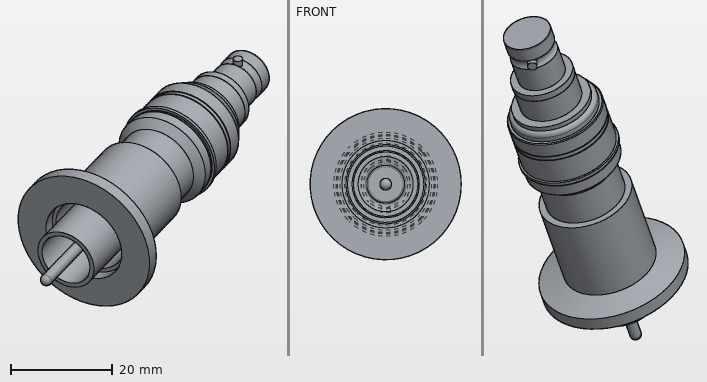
import cadquery as cq


flange_radius = 14.985
flange_rim = 2.75
flange_taper = 1.45
neck_radius = 9.55
neck_end = 22.25

sleeve_radius = 8.13
sleeve_end = 29.65

body_radius = 9.85
body_end = 44.95
body_edge = 0.2
nose_chamfer = body_radius - sleeve_radius
ring_radius = 10.3
ring_start = 34.25
ring_end = 34.95
undercut_radius = 9.75
undercut_width = 0.5
band_radius = 9.7
band_start = 40.55
band_end = 41.55
shoulder_radius = 9.1
shoulder_end = 46.95
shoulder_round = shoulder_radius - sleeve_radius
collar_end = 47.95

adapter_radius = 6.37
adapter_end = 54.85
lip_radius = 6.42
lip_width = 1.5
plug_radius = 4.88
plug_end = 65.85
plug_edge = 0.25
plug_edge_drop = 0.05
groove_start = 60.55
groove_end = 62.75
groove_depth = 0.5
lug_radius = 0.95
lug_position = 61.75
lug_tip = 5.63

seat_radius = 8.65
seat_depth = 2.6
neck_bore_radius = 7.85
sleeve_bore_radius = 7.55
recess_end = 27.0
weld_ring_radius = 6.65
weld_ring_height = 1.0

tube_radius = 6.37
tube_end = -7.15
tube_bore_radius = 5.45
tube_bore_end = 10.0
funnel_radius = 4.0
funnel_end = 10.35
insulator_radius = 3.75
insulator_height = 1.0
insulator_round = 0.3

pin_radius = 1.17
pin_tip = -16.19


def cylinder(radius, start, end):
    """Solid cylinder around the Y axis, from Y = start to Y = end."""
    return cq.Workplane("XZ", origin=(0, end, 0)).circle(radius).extrude(end - start)


def truncated_cone(start_radius, end_radius, start, end):
    """Solid cone frustum around the Y axis, from Y = start to Y = end."""
    return (
        cq.Workplane("XY")
        .moveTo(0, start)
        .lineTo(start_radius, start)
        .lineTo(end_radius, end)
        .lineTo(0, end)
        .close()
        .revolve(360, (0, 0, 0), (0, 1, 0))
    )


def annular_cutter(outer_radius, inner_radius, start, end):
    """Ring around the Y axis that turns a part down to the inner radius."""
    return cylinder(outer_radius, start, end).cut(cylinder(inner_radius, start, end))


def flange_and_neck():
    rim = cylinder(flange_radius, 0, flange_rim)
    taper = truncated_cone(flange_radius, neck_radius, flange_rim, flange_rim + flange_taper)
    return rim.union(taper).union(cylinder(neck_radius, 0, neck_end))


def coupling_body():
    sleeve = cylinder(sleeve_radius, neck_end, sleeve_end)
    body = cylinder(body_radius, sleeve_end, body_end)
    body = body.faces("<Y").chamfer(nose_chamfer)
    body = body.faces(">Y").edges().chamfer(body_edge)
    band = annular_cutter(ring_radius, band_radius, band_start, band_end)
    undercut_start = ring_start - undercut_width
    undercut = annular_cutter(ring_radius, undercut_radius, undercut_start, ring_start)
    body = body.cut(band).cut(undercut)
    ring = cylinder(ring_radius, ring_start, ring_end)
    shoulder = cylinder(shoulder_radius, body_end, shoulder_end)
    shoulder = shoulder.faces(">Y").edges().fillet(shoulder_round)
    collar = cylinder(sleeve_radius, body_end, collar_end)
    return sleeve.union(body).union(ring).union(shoulder).union(collar)


def bayonet_connector():
    adapter = cylinder(adapter_radius, collar_end, adapter_end)
    lip = cylinder(lip_radius, adapter_end - lip_width, adapter_end)
    plug = cylinder(plug_radius, adapter_end, plug_end)
    plug = plug.faces(">Y").edges().chamfer(plug_edge, plug_edge_drop)
    groove = (
        cq.Workplane("XY")
        .moveTo(plug_radius, groove_start)
        .threePointArc(
            (plug_radius - groove_depth, (groove_start + groove_end) / 2),
            (plug_radius, groove_end),
        )
        .close()
        .revolve(360, (0, 0, 0), (0, 1, 0))
    )
    lugs = (
        cq.Workplane("XY", origin=(0, lug_position, 0))
        .circle(lug_radius)
        .extrude(lug_tip, both=True)
    )
    return adapter.union(lip).union(plug.cut(groove)).union(lugs)


def flange_recess():
    seat = cylinder(seat_radius, 0, seat_depth)
    neck_bore = cylinder(neck_bore_radius, 0, neck_end)
    sleeve_bore = cylinder(sleeve_bore_radius, 0, recess_end)
    weld_ring = cylinder(weld_ring_radius, recess_end - weld_ring_height, recess_end)
    return seat.union(neck_bore).union(sleeve_bore).cut(weld_ring)


def tube_bore():
    straight = cylinder(tube_bore_radius, tube_end, tube_bore_end)
    funnel = truncated_cone(tube_bore_radius, funnel_radius, tube_bore_end, funnel_end)
    return straight.union(funnel)


def insulator_and_pin():
    insulator = cylinder(insulator_radius, funnel_end - insulator_height, funnel_end)
    insulator = insulator.faces("<Y").edges().fillet(insulator_round)
    pin = cylinder(pin_radius, pin_tip + pin_radius, funnel_end)
    pin_end = cq.Workplane("XY", origin=(0, pin_tip + pin_radius, 0)).sphere(pin_radius)
    return insulator.union(pin).union(pin_end)


housing = flange_and_neck().union(coupling_body()).union(bayonet_connector())
tube = cylinder(tube_radius, tube_end, recess_end)
shell = housing.cut(flange_recess()).union(tube)
result = shell.cut(tube_bore()).union(insulator_and_pin())